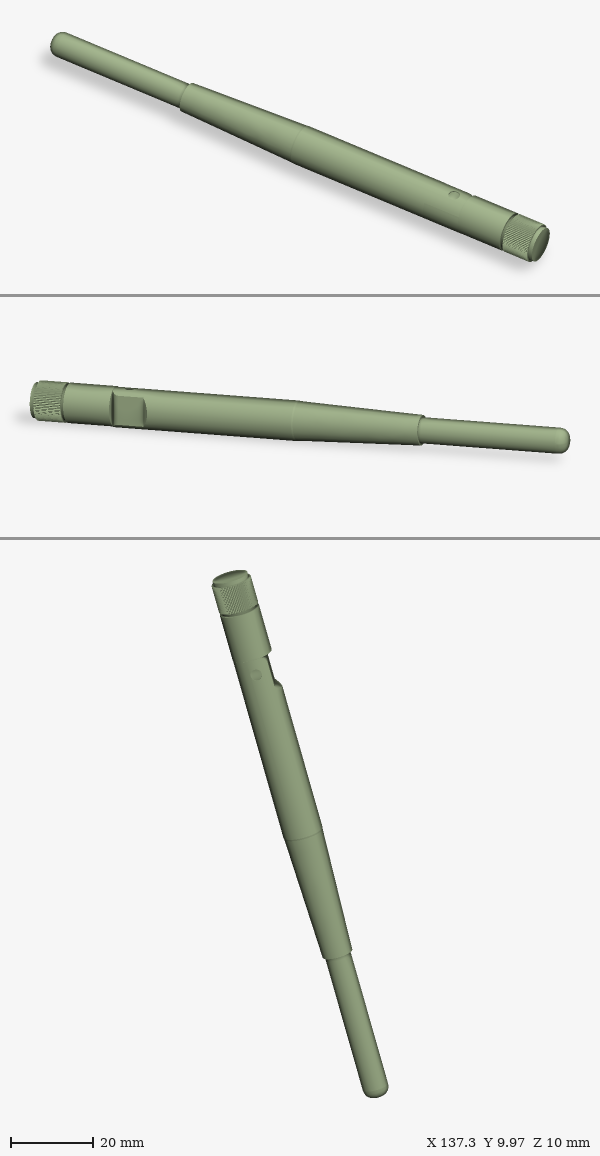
import cadquery as cq
import math

SLEEVE_START = 37.8
TAPER_END = 69.85
FORK_START = 106.9
BASE_START = 116.7
BASE_END = 128.5
KNURL_START = 129.3
KNURL_END = 136.2
OVERALL_LENGTH = 137.28

ROD_RADIUS = 3.2
TIP_LENGTH = 2.6
TIP_SHOULDER = (0.65, 2.4)
TAPER_START_RADIUS = 3.76
TAPER_END_RADIUS = 4.87
SLEEVE_RADIUS = 4.95
SHOULDER_LENGTH = 0.4

HINGE_FLAT_Y = 3.35
HINGE_RAMP_LENGTH = 1.5
HINGE_CORNER_RADIUS = 1.85
SLOT_WIDTH = 5.4
PIN_X = 112.9
PIN_RADIUS = 1.4
PIN_LENGTH = 9.2

BASE_RADIUS = 4.95
BASE_OFFSET_Y = -0.07
BASE_OFFSET_Z = 0.14
NUT_NECK_RADIUS = 4.3
NUT_RADIUS = 4.95
NUT_COLLAR_RADIUS = 4.4
KNURL_COUNT = 72
KNURL_DEPTH = 0.2


def rod_along_x(start, end, radius, y=0.0, z=0.0):
    """Cylinder along X between two stations."""
    return cq.Workplane("YZ", origin=(start, y, z)).circle(radius).extrude(end - start)


def revolved_antenna():
    """Domed rod, tapered sleeve and straight sleeve, turned about the X axis."""
    along_x = (1, 0)
    across_x = (0, 1)
    profile = (
        cq.Workplane("XY")
        .spline(
            [TIP_SHOULDER, (TIP_LENGTH, ROD_RADIUS)],
            tangents=[across_x, along_x],
            includeCurrent=True,
        )
        .lineTo(SLEEVE_START, ROD_RADIUS)
        .lineTo(SLEEVE_START, TAPER_START_RADIUS)
        .lineTo(TAPER_END - SHOULDER_LENGTH, TAPER_END_RADIUS)
        .lineTo(TAPER_END, SLEEVE_RADIUS)
        .lineTo(FORK_START, SLEEVE_RADIUS)
        .lineTo(FORK_START, 0)
        .close()
    )
    return profile.revolve(360, (0, 0, 0), (1, 0, 0))


def hinge_envelope():
    """Sleeve-sized block between fork root and base, with its +Y side ramped, flat and rounded."""
    block = (
        cq.Workplane("XY")
        .moveTo(FORK_START, -SLEEVE_RADIUS)
        .lineTo(FORK_START, SLEEVE_RADIUS)
        .lineTo(FORK_START + HINGE_RAMP_LENGTH, HINGE_FLAT_Y)
        .lineTo(BASE_START - HINGE_CORNER_RADIUS, HINGE_FLAT_Y)
        .radiusArc((BASE_START, HINGE_FLAT_Y - HINGE_CORNER_RADIUS), HINGE_CORNER_RADIUS)
        .lineTo(BASE_START, -SLEEVE_RADIUS)
        .close()
        .extrude(SLEEVE_RADIUS, both=True)
    )
    return block.intersect(rod_along_x(FORK_START, BASE_START, SLEEVE_RADIUS))


def tongue_block():
    """Full-width slab that the slot removes and the tongue fills."""
    length = BASE_START - FORK_START
    width = 2 * SLEEVE_RADIUS
    return (
        cq.Workplane("XY")
        .box(length, width, SLOT_WIDTH)
        .translate((FORK_START + length / 2, 0, 0))
    )


def hinge_cylinder(length):
    """Cylinder on the hinge axis, centred in Z."""
    return (
        cq.Workplane("XY")
        .center(PIN_X, BASE_OFFSET_Y)
        .circle(PIN_RADIUS)
        .extrude(length / 2, both=True)
    )


def make_antenna():
    """Whip and sleeve, ending in the two arms of the hinge fork."""
    arms = hinge_envelope().cut(tongue_block())
    return revolved_antenna().union(arms).cut(hinge_cylinder(2 * SLEEVE_RADIUS))


def make_base():
    """Swivel base with the tongue and hinge pin that fill the fork."""
    barrel = rod_along_x(BASE_START, BASE_END, BASE_RADIUS, BASE_OFFSET_Y, BASE_OFFSET_Z)
    tongue = hinge_envelope().intersect(tongue_block())
    return barrel.union(tongue).union(hinge_cylinder(PIN_LENGTH))


def make_nut():
    """Connector nut: neck, straight-knurled grip and end collar."""
    valley_radius = NUT_RADIUS - KNURL_DEPTH
    peaks_and_valleys = []
    for tooth in range(KNURL_COUNT):
        for half_step, radius in ((0, NUT_RADIUS), (1, valley_radius)):
            angle = math.pi * (2 * tooth + half_step) / KNURL_COUNT
            peaks_and_valleys.append((radius * math.cos(angle), radius * math.sin(angle)))
    grip = (
        cq.Workplane("YZ", origin=(KNURL_START, BASE_OFFSET_Y, BASE_OFFSET_Z))
        .polyline(peaks_and_valleys)
        .close()
        .extrude(KNURL_END - KNURL_START)
    )
    neck = rod_along_x(BASE_END, KNURL_START, NUT_NECK_RADIUS, BASE_OFFSET_Y, BASE_OFFSET_Z)
    collar = rod_along_x(
        KNURL_END, OVERALL_LENGTH, NUT_COLLAR_RADIUS, BASE_OFFSET_Y, BASE_OFFSET_Z
    )
    return grip.union(neck).union(collar)


antenna = make_antenna()
base = make_base()
nut = make_nut()

result = cq.Compound.makeCompound([antenna.val(), base.val(), nut.val()])